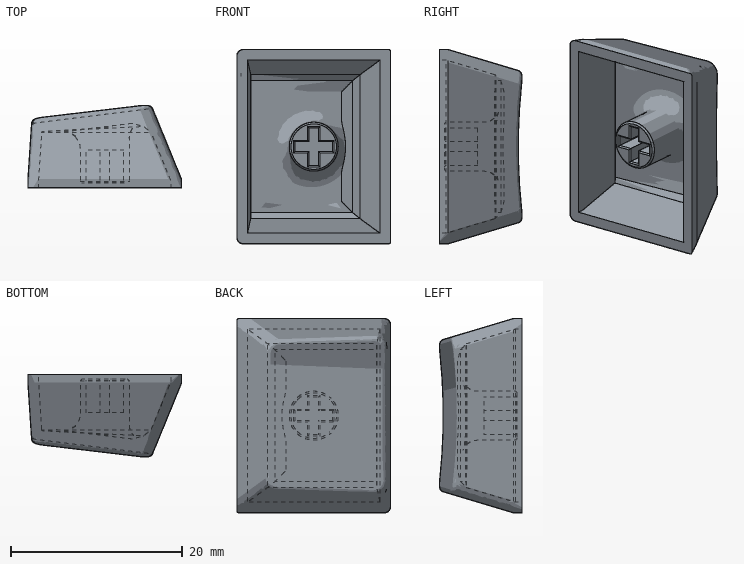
import cadquery as cq
import math

WIDTH = 18.0
LENGTH = 22.75
RIM_HEIGHT = 1.0
RIM_RADIUS_LEFT = 0.77
RIM_RADIUS_RIGHT = 0.27
CORNER_RADIUS = 1.55

LEAN_LEFT = 0.066
LEAN_RIGHT = 0.41
LEAN_ENDS = 0.3

BLANK_HEIGHT = 11.38
TOP_TILT = 7.0
TOP_CENTRE_Y = 8.6
DISH_RADIUS = 65.98
TOP_EDGE_RADIUS = 0.57

WALL = 1.25
CAVITY_BAND = 0.8
CAVITY_WALL_TOP = 6.48
COVE_LEFT = -7.33
COVE_RIGHT = 4.55
COVE_HALF_LENGTH = 7.71
COVE_CENTRE_Y = 6.96
COVE_SLOPE = 0.05
CEILING_LEFT = -5.73
CEILING_RIGHT = 3.23
CEILING_HALF_LENGTH = 6.4
CEILING_CENTRE_Y = 7.17
CEILING_SLOPE = math.tan(math.radians(TOP_TILT))

STEM_RADIUS = 2.87
STEM_RECESS = 0.57
STEM_CHAMFER = 0.2
STEM_FLARE = 1.9
ROOT_THICKNESS = 0.9
ROOT_WIDTH = 11.38
ROOT_LENGTH = 12.28
CROSS_LENGTH = 4.4
CROSS_WIDTH = 1.15
CROSS_DEPTH = 3.87
CROSS_CHAMFER = 0.15


def rounded_outline(y, sides, radius_left, radius_right):
    """Closed outline at height y with its own corner radii on the -X and +X sides."""
    left, right, half_length = sides
    corners = [
        (right, half_length, radius_right, 0),
        (left, half_length, radius_left, 90),
        (left, -half_length, radius_left, 180),
        (right, -half_length, radius_right, 270),
    ]
    arcs = []
    for x, z, radius, start in corners:
        centre = cq.Vector(x - math.copysign(radius, x), y, z - math.copysign(radius, z))
        points = []
        for degrees in (start, start + 45, start + 90):
            angle = math.radians(degrees)
            points.append(centre + cq.Vector(math.cos(angle), 0, math.sin(angle)) * radius)
        arcs.append(cq.Edge.makeThreePointArc(*points))

    edges = []
    for index, arc in enumerate(arcs):
        following = arcs[(index + 1) % len(arcs)]
        edges.append(arc)
        edges.append(cq.Edge.makeLine(arc.endPoint(), following.startPoint()))
    return cq.Wire.assembleEdges(edges)


def sharp_outline(y, sides, slope=0.0):
    """Closed four-sided outline; its height is y at X = 0 and climbs by slope along X."""
    left, right, half_length = sides
    corners = [(right, half_length), (left, half_length), (left, -half_length), (right, -half_length)]
    points = [cq.Vector(x, y + slope * x, z) for x, z in corners]
    return cq.Wire.makePolygon(points, close=True)


def leaning_sides(inset, rise):
    """Left X, right X and half length of the walls, set in and then leaned over a rise in Y."""
    left = -WIDTH / 2 + inset + LEAN_LEFT * rise
    right = WIDTH / 2 - inset - LEAN_RIGHT * rise
    half_length = LENGTH / 2 - inset - LEAN_ENDS * rise
    return left, right, half_length


def ruled_loft(lower, upper):
    return cq.Workplane(obj=cq.Solid.makeLoft([lower, upper], True))


def stacked_lofts(outlines):
    """Straight-sided solid passing through a series of outlines."""
    solid = ruled_loft(outlines[0], outlines[1])
    for lower, upper in zip(outlines[1:], outlines[2:]):
        solid = solid.union(ruled_loft(lower, upper))
    return solid


def make_dish():
    """Large cylinder whose underside is the shallow trough along the tilted keytop."""
    tilt = math.radians(TOP_TILT)
    along = cq.Vector(math.cos(tilt), math.sin(tilt), 0)
    outward = cq.Vector(-math.sin(tilt), math.cos(tilt), 0)
    start = cq.Vector(0, TOP_CENTRE_Y, 0) + outward * DISH_RADIUS - along * WIDTH
    return cq.Workplane(obj=cq.Solid.makeCylinder(DISH_RADIUS, 2 * WIDTH, start, along))


def make_outer_body():
    """Upright rim band topped by the leaning body with its dished, rounded keytop."""
    rim_sides = leaning_sides(0, 0)
    peak_sides = leaning_sides(0, BLANK_HEIGHT - RIM_HEIGHT)
    rim = rounded_outline(0, rim_sides, RIM_RADIUS_LEFT, RIM_RADIUS_RIGHT)
    shoulder = rounded_outline(RIM_HEIGHT, rim_sides, CORNER_RADIUS, CORNER_RADIUS)
    peak = rounded_outline(BLANK_HEIGHT, peak_sides, CORNER_RADIUS, CORNER_RADIUS)

    tower = ruled_loft(shoulder, peak).cut(make_dish())
    tower = tower.faces(">Y").edges().fillet(TOP_EDGE_RADIUS)
    return ruled_loft(rim, shoulder).union(tower)


def make_cavity():
    mouth_sides = leaning_sides(WALL, 0)
    wall_top_sides = leaning_sides(WALL, CAVITY_WALL_TOP - CAVITY_BAND)
    cove_sides = (COVE_LEFT, COVE_RIGHT, COVE_HALF_LENGTH)
    ceiling_sides = (CEILING_LEFT, CEILING_RIGHT, CEILING_HALF_LENGTH)
    return stacked_lofts([
        sharp_outline(0, mouth_sides),
        sharp_outline(CAVITY_BAND, mouth_sides),
        sharp_outline(CAVITY_WALL_TOP, wall_top_sides),
        sharp_outline(COVE_CENTRE_Y, cove_sides, COVE_SLOPE),
        sharp_outline(CEILING_CENTRE_Y, ceiling_sides, CEILING_SLOPE),
    ])


def make_stem():
    """Round post flaring into a tilted root slab that is buried in the ceiling."""
    root = (
        cq.Workplane("XZ")
        .rect(ROOT_WIDTH, ROOT_LENGTH)
        .extrude(-ROOT_THICKNESS)
        .rotate((0, 0, 0), (0, 0, 1), TOP_TILT)
        .translate((0, CEILING_CENTRE_Y, 0))
    )
    post_length = CEILING_CENTRE_Y + ROOT_THICKNESS / 2 - STEM_RECESS
    post = (
        cq.Workplane("XZ", origin=(0, STEM_RECESS, 0))
        .circle(STEM_RADIUS)
        .extrude(-post_length)
    )
    stem = root.union(post)
    stem = stem.edges("%ELLIPSE").fillet(STEM_FLARE)
    return stem.faces("<Y").edges().chamfer(STEM_CHAMFER)


def make_slot(size_x, size_z):
    """One bar of the cross socket with a bevelled mouth."""
    half_x = size_x / 2
    half_z = size_z / 2
    mouth_x = half_x + CROSS_CHAMFER
    mouth_z = half_z + CROSS_CHAMFER
    return stacked_lofts([
        sharp_outline(STEM_RECESS, (-mouth_x, mouth_x, mouth_z)),
        sharp_outline(STEM_RECESS + CROSS_CHAMFER, (-half_x, half_x, half_z)),
        sharp_outline(STEM_RECESS + CROSS_DEPTH, (-half_x, half_x, half_z)),
    ])


cross_socket = make_slot(CROSS_LENGTH, CROSS_WIDTH).union(make_slot(CROSS_WIDTH, CROSS_LENGTH))
result = make_outer_body().cut(make_cavity()).union(make_stem()).cut(cross_socket)